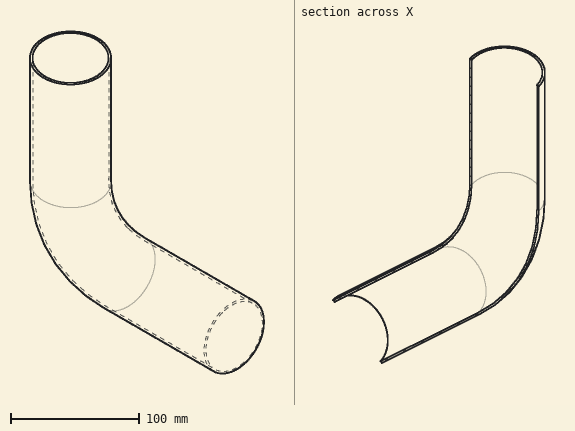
import cadquery as cq
import math

total_height = 347.0
outer_diameter = 63.5
inner_diameter = 59.5
leg_length = 127.0
bend_angle = 45.0

sine = math.sin(math.radians(bend_angle))
cosine = math.cos(math.radians(bend_angle))

lower_leg_drop = leg_length * cosine
end_face_drop = outer_diameter / 2 * sine
bend_radius = (total_height - leg_length - lower_leg_drop - end_face_drop) / sine

bend_start = (0, -leg_length)
bend_centre_y = bend_radius


def point_on_bend(angle):
    """Centreline point after turning through the given angle in degrees."""
    turn = math.radians(angle)
    y = bend_centre_y - bend_radius * math.cos(turn)
    z = -leg_length - bend_radius * math.sin(turn)
    return (y, z)


bend_middle = point_on_bend(bend_angle / 2)
bend_end = point_on_bend(bend_angle)
lower_end = (bend_end[0] + leg_length * sine, bend_end[1] - lower_leg_drop)

centreline = (
    cq.Workplane("YZ")
    .lineTo(*bend_start)
    .threePointArc(bend_middle, bend_end)
    .lineTo(*lower_end)
)

result = (
    cq.Workplane("XY")
    .circle(outer_diameter / 2)
    .circle(inner_diameter / 2)
    .sweep(centreline)
)